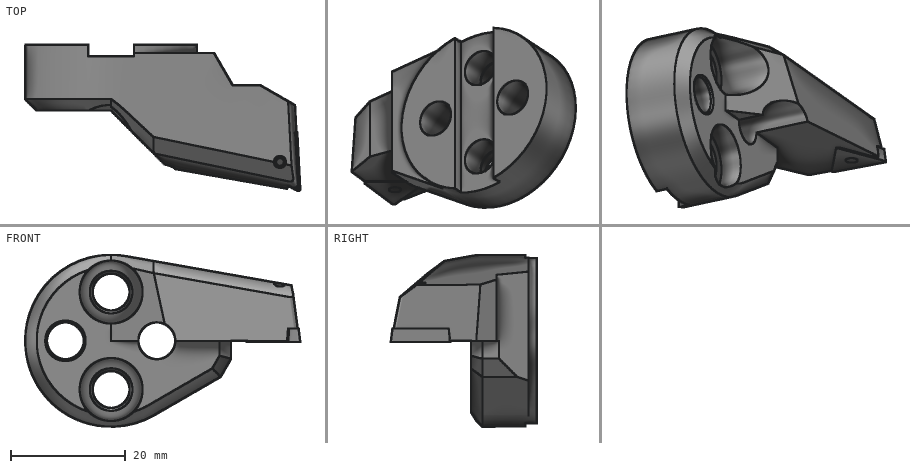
import cadquery as cq
import math

OVERALL_LENGTH = 48.0
REACH = 48.0

DISC_RADIUS = 30.0 / 2
PLATE_FRONT = -11.5
PLATE_CHAMFER = 2.0
RELIEF_DEPTH = 1.45
PLATE_RIGHT = 20.95
LOWER_EDGE_ANGLE = math.radians(30)
LOWER_CORNER_X = 19.1
SIDE_CORNER_ANGLE = math.radians(60)
SLOT_WIDTH = 7.95
SLOT_DEPTH = 2.0

HOLE_DIAMETER = 6.4
SIDE_HOLE_OFFSET = 7.95
SIDE_HOLE_MOUTH = 7.05
BOLT_OFFSET = 8.5
BOLT_MOUTH = 7.45
COUNTERBORE_DIAMETER = 11.0
COUNTERBORE_DEPTH = 3.85

TOP_SLOPE = math.radians(10)
FLANK_TURN = math.tan(math.radians(10))
FLANK_LEAN = math.tan(math.radians(10))
FLANK_START = -19.75
END_TURN = math.tan(math.radians(3))
END_LEAN = math.tan(math.radians(7))
END_START = 31.55
NOSE_FILLET = 0.6
UPPER_BEVEL_CORNER_X = 7.35
UPPER_BEVEL_CORNER_Y = -16.1
LOWER_BEVEL_CORNER_X = 7.45
ARM_LENGTH = 36.0
ARM_FRONT = -33.6

STEP_START_X = 17.95
STEP_LEVEL = -7.05
STEP_ANGLE = math.radians(60)
TAIL_START_X = 26.0
TAIL_ANGLE = math.radians(30)

TIP_RIGHT = OVERALL_LENGTH - DISC_RADIUS
TIP_FRONT = -25.5
NOSE_RADIUS = 0.4
NOSE_SPACING = 9.65
INSERT_TURN = 93.0
INSERT_ANGLE = 60.0
INSERT_BOTTOM = -0.25
INSERT_THICKNESS = 2.4
INSERT_CLEARANCE = 7.0
RELIEF_LENGTH = 1.75
SCREW_X = 29.4
SCREW_Y = -20.45
SCREW_DIAMETER = 2.05
SCREW_CHAMFER = 0.35
SCREW_TOP = 4.8


def top_height(x):
    """Height of the sloping top face of the arm, which is tangent to the disc."""
    return DISC_RADIUS / math.cos(TOP_SLOPE) - x * math.tan(TOP_SLOPE)


def shoulder_y(x):
    return PLATE_FRONT - x


def half_space(origin, normal):
    """A large block on the side of a plane that its normal points to."""
    plane = cq.Plane(origin=origin, normal=normal)
    return cq.Workplane(plane).rect(4 * REACH, 4 * REACH).extrude(2 * REACH)


def cylinder_y(x, z, diameter, start, end):
    """A cylinder along Y from Y = start down to Y = end."""
    base = cq.Workplane("XZ", origin=(x, start, z))
    return base.circle(diameter / 2).extrude(start - end)


def countersink_y(x, z, mouth, face):
    """A 45 degree cone that narrows from its mouth at Y = face to the hole diameter."""
    depth = (mouth - HOLE_DIAMETER) / 2
    return cq.Solid.makeCone(
        mouth / 2, HOLE_DIAMETER / 2, depth, pnt=cq.Vector(x, face, z), dir=cq.Vector(0, 1, 0)
    )


def make_rear_relief():
    """Layer behind the arm and the plate corner, outside the rim of the disc."""
    layer = cq.Workplane("XZ").rect(2 * REACH, 2 * REACH).extrude(RELIEF_DEPTH)
    left_half = half_space((0, 0, 0), (-1, 0, 0))
    return layer.cut(left_half).cut(cylinder_y(0, 0, 2 * DISC_RADIUS, 0, -RELIEF_DEPTH))


def make_plate():
    """Round plate with a corner at lower right. The arm takes the place of its upper right quarter."""
    tangent_x = DISC_RADIUS * math.sin(LOWER_EDGE_ANGLE)
    tangent_z = -DISC_RADIUS * math.cos(LOWER_EDGE_ANGLE)
    corner_z = tangent_z + (LOWER_CORNER_X - tangent_x) * math.tan(LOWER_EDGE_ANGLE)
    side_z = corner_z + (PLATE_RIGHT - LOWER_CORNER_X) * math.tan(SIDE_CORNER_ANGLE)
    plate = (
        cq.Workplane("XZ")
        .moveTo(0, DISC_RADIUS)
        .threePointArc((-DISC_RADIUS, 0), (tangent_x, tangent_z))
        .lineTo(LOWER_CORNER_X, corner_z)
        .lineTo(PLATE_RIGHT, side_z)
        .lineTo(PLATE_RIGHT, DISC_RADIUS)
        .close()
        .extrude(-PLATE_FRONT)
    )
    plate = plate.faces("<Y").edges().chamfer(PLATE_CHAMFER)
    quarter = cq.Workplane("XZ", origin=(0, -RELIEF_DEPTH, 0))
    upper_right = quarter.rect(REACH, REACH, centered=False).extrude(REACH)
    return plate.cut(upper_right)


def make_arm():
    tangent_x = DISC_RADIUS * math.sin(TOP_SLOPE)
    middle = TOP_SLOPE / 2
    side_shape = (
        cq.Workplane("XZ")
        .moveTo(0, DISC_RADIUS)
        .threePointArc(
            (DISC_RADIUS * math.sin(middle), DISC_RADIUS * math.cos(middle)),
            (tangent_x, DISC_RADIUS * math.cos(TOP_SLOPE)),
        )
        .lineTo(ARM_LENGTH, top_height(ARM_LENGTH))
        .lineTo(ARM_LENGTH, 0)
        .lineTo(0, 0)
        .close()
        .extrude(REACH)
    )
    plan_shape = (
        cq.Workplane("XY")
        .moveTo(0, -RELIEF_DEPTH)
        .lineTo(0, PLATE_FRONT)
        .lineTo(PLATE_FRONT - ARM_FRONT, ARM_FRONT)
        .lineTo(ARM_LENGTH, ARM_FRONT)
        .lineTo(ARM_LENGTH, -RELIEF_DEPTH)
        .close()
        .extrude(REACH)
    )
    arm = side_shape.intersect(plan_shape)
    arm = arm.cut(half_space((0, FLANK_START, 0), (-FLANK_TURN, -1, FLANK_LEAN)))
    arm = arm.cut(half_space((END_START, 0, 0), (1, END_TURN, END_LEAN)))
    arm = arm.edges("<Y").fillet(NOSE_FILLET)
    return bevel_arm(arm)


def bevel_arm(arm):
    """Bevels along the top of the shoulder and of the flank. They meet in one edge between two corners."""
    upper_corner = cq.Vector(UPPER_BEVEL_CORNER_X, UPPER_BEVEL_CORNER_Y, top_height(UPPER_BEVEL_CORNER_X))
    lower_y = shoulder_y(LOWER_BEVEL_CORNER_X)
    lower_z = (lower_y - FLANK_START + FLANK_TURN * LOWER_BEVEL_CORNER_X) / FLANK_LEAN
    lower_corner = cq.Vector(LOWER_BEVEL_CORNER_X, lower_y, lower_z)
    disc_corner = cq.Vector(0, PLATE_FRONT + PLATE_CHAMFER, DISC_RADIUS)
    top_fall = math.tan(TOP_SLOPE)
    along_flank = cq.Vector(1, -FLANK_TURN - FLANK_LEAN * top_fall, -top_fall)
    shoulder_normal = (lower_corner - disc_corner).cross(upper_corner - disc_corner)
    flank_normal = along_flank.cross(upper_corner - lower_corner)
    arm = arm.cut(half_space(upper_corner, shoulder_normal))
    return arm.cut(half_space(upper_corner, flank_normal))


def make_rear_step():
    """Space behind the arm: a steep step, a level stretch and a sloping tail."""
    step_end_x = STEP_START_X + (-RELIEF_DEPTH - STEP_LEVEL) / math.tan(STEP_ANGLE)
    tail_end_y = STEP_LEVEL - (ARM_LENGTH - TAIL_START_X) * math.tan(TAIL_ANGLE)
    return (
        cq.Workplane("XY", origin=(0, 0, -REACH))
        .moveTo(STEP_START_X, -RELIEF_DEPTH)
        .lineTo(step_end_x, STEP_LEVEL)
        .lineTo(TAIL_START_X, STEP_LEVEL)
        .lineTo(ARM_LENGTH, tail_end_y)
        .lineTo(ARM_LENGTH, 0)
        .lineTo(STEP_START_X, 0)
        .close()
        .extrude(2 * REACH)
    )


def drill_plate(body):
    for x in (-SIDE_HOLE_OFFSET, SIDE_HOLE_OFFSET):
        body = body.cut(cylinder_y(x, 0, HOLE_DIAMETER, 0, -REACH))
    body = body.cut(countersink_y(-SIDE_HOLE_OFFSET, 0, SIDE_HOLE_MOUTH, PLATE_FRONT))
    floor = PLATE_FRONT + COUNTERBORE_DEPTH
    for z in (-BOLT_OFFSET, BOLT_OFFSET):
        body = body.cut(cylinder_y(0, z, HOLE_DIAMETER, 0, -REACH))
        body = body.cut(cylinder_y(0, z, COUNTERBORE_DIAMETER, floor, -REACH))
        body = body.cut(countersink_y(0, z, BOLT_MOUTH, floor))
    return body


def insert_corners():
    """Centres of the three corner rounds, starting at the cutting nose."""
    nose = cq.Vector(TIP_RIGHT - NOSE_RADIUS, TIP_FRONT + NOSE_RADIUS)
    corners = [nose]
    for angle in (INSERT_TURN, INSERT_TURN + INSERT_ANGLE):
        turn = math.radians(angle)
        corners.append(nose + cq.Vector(math.cos(turn), math.sin(turn)) * NOSE_SPACING)
    return corners


def screw_cylinder(start, end):
    base = cq.Workplane("XY", origin=(SCREW_X, SCREW_Y, start))
    return base.circle(SCREW_DIAMETER / 2).extrude(end - start)


def make_insert():
    """Triangular insert with rounded corners, narrowing upward from its cutting face."""
    points = [(corner.x, corner.y) for corner in insert_corners()]
    insert = (
        cq.Workplane("XY", origin=(0, 0, INSERT_BOTTOM))
        .polyline(points)
        .close()
        .offset2D(NOSE_RADIUS)
        .extrude(INSERT_THICKNESS, taper=INSERT_CLEARANCE)
    )
    return insert.cut(screw_cylinder(INSERT_BOTTOM, SCREW_TOP))


def make_screw():
    """Clamping screw, flush with the cutting face and bevelled at its sunken end."""
    return screw_cylinder(INSERT_BOTTOM, SCREW_TOP).faces(">Z").chamfer(SCREW_CHAMFER)


def cut_insert_pocket(body):
    """Pocket for the insert, opened to the flank beside the nose."""
    pocket_top = INSERT_BOTTOM + INSERT_THICKNESS
    nose = insert_corners()[0]
    turn = math.radians(INSERT_TURN + INSERT_ANGLE)
    along_edge = (math.cos(turn), math.sin(turn), 0)
    plane = cq.Plane(origin=(nose.x, nose.y, pocket_top), xDir=along_edge, normal=(0, 0, -1))
    relief = (
        cq.Workplane(plane)
        .moveTo(RELIEF_LENGTH, 0)
        .lineTo(RELIEF_LENGTH, -REACH)
        .lineTo(-REACH, -REACH)
        .lineTo(-REACH, 0)
        .close()
        .extrude(REACH)
    )
    return body.cut(make_insert()).cut(relief)


def make_holder():
    holder = make_plate().union(make_arm())
    holder = holder.cut(make_rear_relief()).cut(make_rear_step())
    slot = cq.Workplane("XY").box(SLOT_WIDTH, 2 * SLOT_DEPTH, 2 * REACH)
    holder = drill_plate(holder.cut(slot))
    return cut_insert_pocket(holder).cut(screw_cylinder(INSERT_BOTTOM, REACH))


holder = make_holder()
insert = make_insert()
screw = make_screw()
result = cq.Compound.makeCompound([holder.val(), insert.val(), screw.val()])